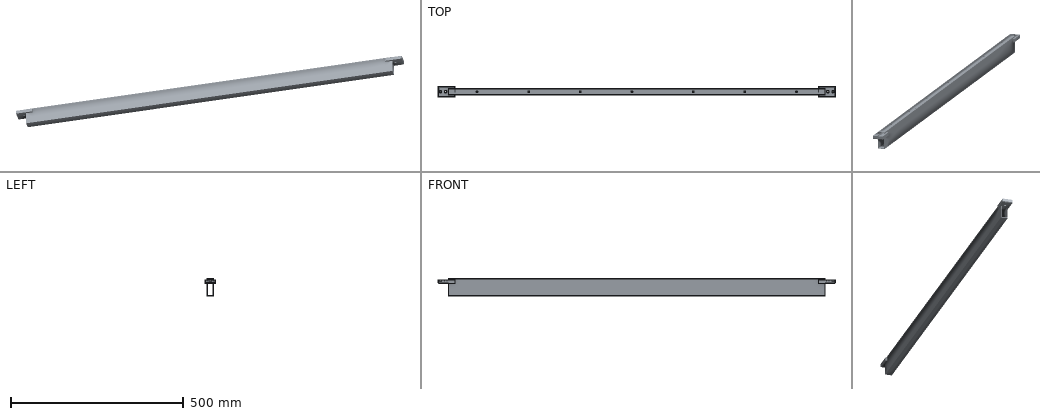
import cadquery as cq

beam_length = 1095.0
beam_width = 20.0
beam_height = 50.0
wall = 1.5

overall_length = 1154.0
block_length = 49.0
block_width = 30.0
block_thickness = 10.0
block_drop = 4.0
block_chamfer = 2.0

beam_hole_diameter = 5.0
beam_hole_pitch = 150.0
innermost_hole_offset = 14.0
holes_per_half = 4

block_hole_diameter = 6.5
outer_hole_inset = 7.0
outer_hole_depth = 5.0
inner_hole_inset = 22.0
inner_hole_depth = block_thickness

beam_top = beam_height / 2
block_top = beam_top - block_drop
block_middle = block_top - block_thickness / 2


def vertical_hole(x, top, diameter, depth):
    """Cylinder to cut away, going down from the given top height."""
    return cq.Workplane("XY", origin=(x, 0, top)).circle(diameter / 2).extrude(-depth)


def make_beam():
    outside = cq.Workplane("XY").box(beam_length, beam_width, beam_height)
    inside = cq.Workplane("XY").box(beam_length, beam_width - 2 * wall, beam_height - 2 * wall)
    return outside.cut(inside)


def drill_beam(beam):
    offsets = [innermost_hole_offset + i * beam_hole_pitch for i in range(holes_per_half)]
    positions = [-offset for offset in offsets] + offsets[1:]
    for x in positions:
        beam = beam.cut(vertical_hole(x, beam_top, beam_hole_diameter, wall))
    return beam


def make_end_block(side):
    """End block at the -X end (side = -1) or the +X end (side = 1)."""
    outer_end = side * overall_length / 2
    center_x = outer_end - side * block_length / 2
    outer_face = ">X" if side > 0 else "<X"
    block = (
        cq.Workplane("XY", origin=(center_x, 0, block_middle))
        .box(block_length, block_width, block_thickness)
        .faces(outer_face)
        .edges("<Z")
        .chamfer(block_chamfer)
    )
    for inset, depth in ((outer_hole_inset, outer_hole_depth), (inner_hole_inset, inner_hole_depth)):
        block = block.cut(vertical_hole(outer_end - side * inset, block_top, block_hole_diameter, depth))
    return block


result = drill_beam(make_beam())
for side in (-1, 1):
    result = result.union(make_end_block(side))